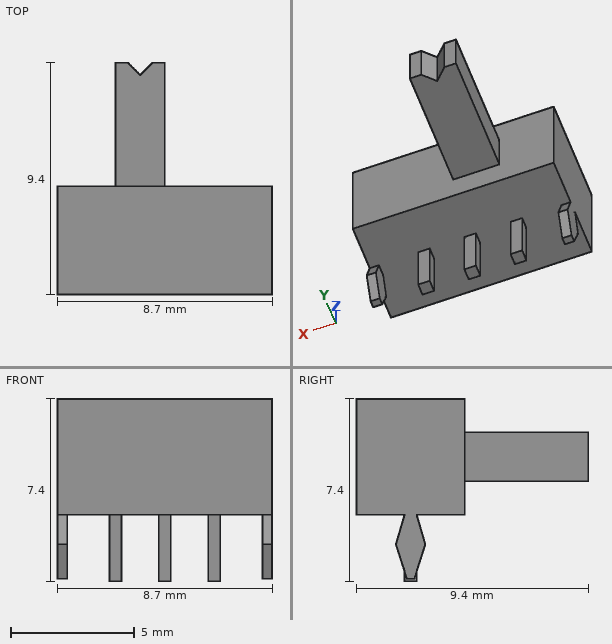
import cadquery as cq

BODY_X = 8.7
BODY_Y = 4.4
BODY_Z = 4.7

STEM_SIDE = 2.0
STEM_LENGTH = 5.0
STEM_CENTRE_X = -1.0
NOTCH_WIDTH = 1.0
NOTCH_DEPTH = 0.5

PIN_SIDE = 0.5
PIN_LENGTH = 2.7
PIN_PITCH = 2.0
PIN_COUNT = 3

LEG_THICKNESS = 0.4
LEG_LENGTH = 2.6
LEG_TOP_WIDTH = 0.5
LEG_MAX_WIDTH = 1.2
LEG_MAX_DEPTH = 1.2
LEG_TIP_WIDTH = 0.3


def make_body():
    return cq.Workplane("XY").box(BODY_X, BODY_Y, BODY_Z, centered=(True, True, False))


def make_stem():
    base_y = BODY_Y / 2
    tip_y = base_y + STEM_LENGTH
    half_side = STEM_SIDE / 2
    half_notch = NOTCH_WIDTH / 2
    outline = [
        (STEM_CENTRE_X - half_side, base_y),
        (STEM_CENTRE_X + half_side, base_y),
        (STEM_CENTRE_X + half_side, tip_y),
        (STEM_CENTRE_X + half_notch, tip_y),
        (STEM_CENTRE_X, tip_y - NOTCH_DEPTH),
        (STEM_CENTRE_X - half_notch, tip_y),
        (STEM_CENTRE_X - half_side, tip_y),
    ]
    bottom_z = (BODY_Z - STEM_SIDE) / 2
    return cq.Workplane("XY").workplane(offset=bottom_z).polyline(outline).close().extrude(STEM_SIDE)


def make_pins():
    first_x = -PIN_PITCH * (PIN_COUNT - 1) / 2
    centres = [(first_x + i * PIN_PITCH, 0) for i in range(PIN_COUNT)]
    return cq.Workplane("XY").pushPoints(centres).rect(PIN_SIDE, PIN_SIDE).extrude(-PIN_LENGTH)


def make_leg(start_x):
    outline = [
        (-LEG_TOP_WIDTH / 2, 0),
        (-LEG_MAX_WIDTH / 2, -LEG_MAX_DEPTH),
        (-LEG_TIP_WIDTH / 2, -LEG_LENGTH),
        (LEG_TIP_WIDTH / 2, -LEG_LENGTH),
        (LEG_MAX_WIDTH / 2, -LEG_MAX_DEPTH),
        (LEG_TOP_WIDTH / 2, 0),
    ]
    return cq.Workplane("YZ").workplane(offset=start_x).polyline(outline).close().extrude(LEG_THICKNESS)


result = make_body().union(make_stem()).union(make_pins())
for leg_start_x in (-BODY_X / 2, BODY_X / 2 - LEG_THICKNESS):
    result = result.union(make_leg(leg_start_x))